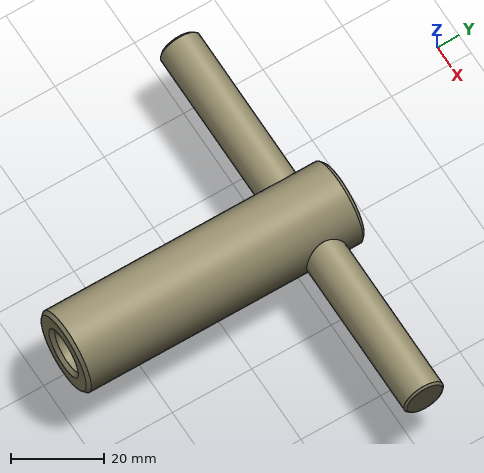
import cadquery as cq
import math

body_diameter = 20.0
body_length = 70.0
body_chamfer = 0.8

handle_diameter = 10.0
handle_length = 100.0
handle_chamfer = 0.5
handle_from_back = 10.0

hole_diameter = 10.1
mouth_diameter = 12.0
hole_depth = 20.0
drill_point_angle = 118.0


def make_body():
    front_plane = cq.Workplane("XZ", origin=(0, handle_from_back - body_length, 0))
    bar = front_plane.circle(body_diameter / 2).extrude(-body_length)
    return bar.faces("<Y or >Y").chamfer(body_chamfer)


def make_handle():
    bar = cq.Workplane("YZ").circle(handle_diameter / 2).extrude(handle_length / 2, both=True)
    return bar.faces("<X or >X").chamfer(handle_chamfer)


def make_hole():
    """Half profile of the hole, revolved about the body axis."""
    front = handle_from_back - body_length
    hole_radius = hole_diameter / 2
    mouth_radius = mouth_diameter / 2
    mouth_depth = mouth_radius - hole_radius
    point_depth = hole_radius / math.tan(math.radians(drill_point_angle / 2))
    profile = (
        cq.Workplane("XY")
        .moveTo(0, front)
        .lineTo(mouth_radius, front)
        .lineTo(hole_radius, front + mouth_depth)
        .lineTo(hole_radius, front + hole_depth)
        .lineTo(0, front + hole_depth + point_depth)
        .close()
    )
    return profile.revolve(360, (0, 0, 0), (0, 1, 0))


result = make_body().cut(make_hole()).union(make_handle())